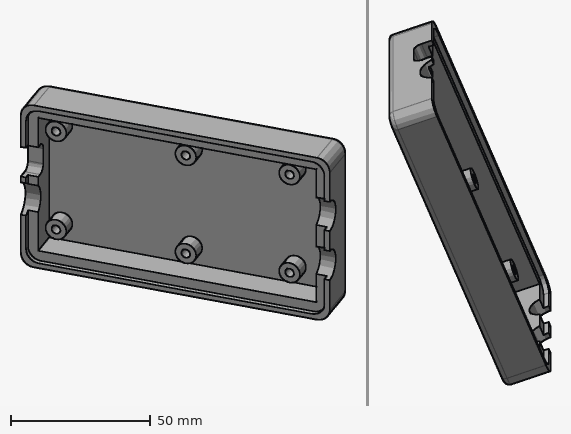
import cadquery as cq

LENGTH = 119.0
DEPTH = 17.0
HEIGHT = 66.0
CORNER_RADIUS = 5.0
BACK_FILLET = 2.0
WALL = 6.0
FLOOR = 4.0

RIM_WIDTH = 2.0
STEP_DEPTH = 2.0

BOSS_DIAMETER = 8.0
BOSS_HEIGHT = 6.0
HOLE_DIAMETER = 3.3
BOSS_COLUMNS = (-48.7, 1.3, 41.3)
BOSS_ROW_SPACING = 40.0

ROUND_NOTCH_RADIUS = 6.0
ROUND_NOTCH_SPACING = 20.0
SHALLOW_NOTCH_RADIUS = 7.0
SHALLOW_NOTCH_OFFSET = 2.5
SHALLOW_NOTCH_Z = -6.0
SQUARE_NOTCH_WIDTH = 12.0
SQUARE_NOTCH_DEPTH = 7.0
SQUARE_NOTCH_RADIUS = 3.0
SQUARE_NOTCH_Z = 9.0

CLEARANCE = 1.2
OPEN_FACE = -DEPTH / 2
FLOOR_FACE = DEPTH / 2 - FLOOR
END_WALL_X = (LENGTH - WALL) / 2
END_CUTTER_LENGTH = WALL + 2 * CLEARANCE


def block(length, height, y_start, y_end):
    """Box centered in X and Z that spans y_start to y_end."""
    depth = y_end - y_start
    return cq.Workplane("XY").box(length, depth, height).translate((0, y_start + depth / 2, 0))


def round_bars(points, diameter, y_start, y_end):
    """Cylinders along Y at the given (x, z) points."""
    plane = cq.Workplane(cq.Plane((0, y_start, 0), xDir=(1, 0, 0), normal=(0, 1, 0)))
    local_points = [(x, -z) for x, z in points]
    return plane.pushPoints(local_points).circle(diameter / 2).extrude(y_end - y_start)


def end_cylinder(radius, y, z, side):
    """Cylinder along X that crosses one end wall; side is -1 or +1."""
    return (
        cq.Workplane("YZ", origin=(side * END_WALL_X, 0, 0))
        .center(y, z)
        .circle(radius)
        .extrude(END_CUTTER_LENGTH / 2, both=True)
    )


def square_notch():
    """Notch through the -X wall with rounded bottom corners."""
    depth = SQUARE_NOTCH_DEPTH + CLEARANCE
    return (
        cq.Workplane("XY")
        .box(END_CUTTER_LENGTH, depth, SQUARE_NOTCH_WIDTH)
        .faces(">Y").edges("|X").fillet(SQUARE_NOTCH_RADIUS)
        .translate((-END_WALL_X, OPEN_FACE - CLEARANCE + depth / 2, SQUARE_NOTCH_Z))
    )


shell = block(LENGTH, HEIGHT, OPEN_FACE, DEPTH / 2)
shell = shell.edges("|Y").fillet(CORNER_RADIUS)
shell = shell.faces(">Y").edges().fillet(BACK_FILLET)

cavity = block(LENGTH - 2 * WALL, HEIGHT - 2 * WALL, OPEN_FACE - CLEARANCE, FLOOR_FACE)
rim_step = block(
    LENGTH - 2 * RIM_WIDTH,
    HEIGHT - 2 * RIM_WIDTH,
    OPEN_FACE - CLEARANCE,
    OPEN_FACE + STEP_DEPTH,
).edges("|Y").fillet(CORNER_RADIUS)
tray = shell.cut(cavity).cut(rim_step)

boss_points = [
    (x, side * BOSS_ROW_SPACING / 2)
    for x in BOSS_COLUMNS
    for side in (-1, 1)
]
tray = tray.union(round_bars(boss_points, BOSS_DIAMETER, FLOOR_FACE - BOSS_HEIGHT, FLOOR_FACE))
tray = tray.cut(round_bars(boss_points, HOLE_DIAMETER, OPEN_FACE, DEPTH / 2 + CLEARANCE))

for side in (-1, 1):
    tray = tray.cut(end_cylinder(ROUND_NOTCH_RADIUS, OPEN_FACE, side * ROUND_NOTCH_SPACING / 2, 1))

tray = tray.cut(square_notch())
tray = tray.cut(end_cylinder(SHALLOW_NOTCH_RADIUS, OPEN_FACE - SHALLOW_NOTCH_OFFSET, SHALLOW_NOTCH_Z, -1))

result = tray